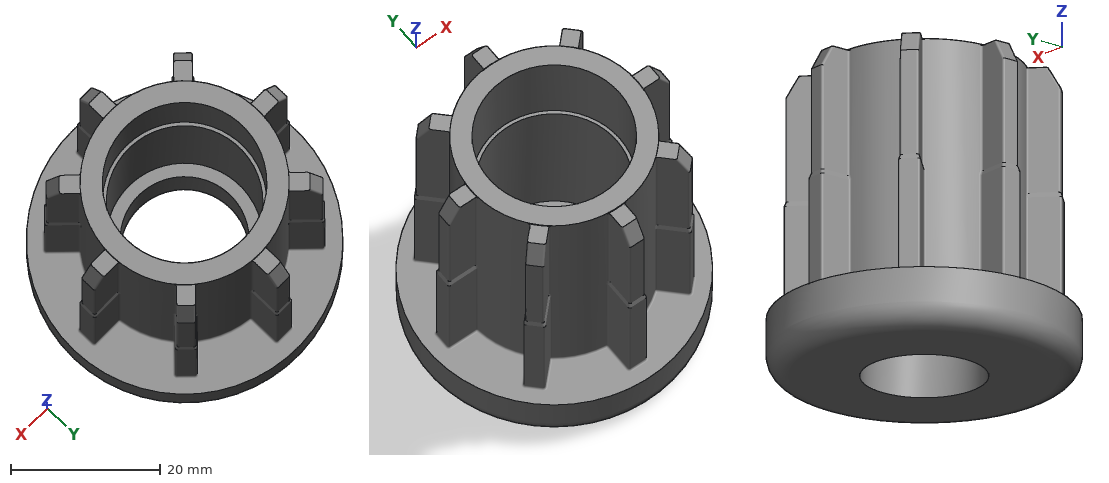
import cadquery as cq
import math

total_height = 43.0
flange_diameter = 42.4
flange_height = 8.0
flange_edge_radius = 3.0

tube_diameter = 28.0
mouth_diameter = 22.0
mouth_depth = 12.0
bore_diameter = 21.0
floor_hole_diameter = 17.3

rib_count = 8
rib_upper_reach = 18.55
rib_upper_width = 2.55
rib_step = 0.2
rib_step_bottom = 24.3
rib_step_top = 25.0
rib_embedding = 1.7
rib_top_drop = 0.17
rib_tip_height = 3.0
rib_tip_angle = 30.0
rib_fillet = 0.3
foot_fillet = 0.3
root_search_margin = 0.25

tube_radius = tube_diameter / 2
rib_inner_reach = tube_radius - rib_embedding
rib_top = total_height - rib_top_drop
rib_tip_inset = rib_tip_height * math.tan(math.radians(rib_tip_angle))


def cylinder(diameter, bottom, top):
    """Solid cylinder on the Z axis between two heights."""
    return cq.Workplane("XY").workplane(offset=bottom).circle(diameter / 2).extrude(top - bottom)


def rib_section(step, height):
    """Rib outline with rounded corners on a level plane, grown outward by the given step."""
    length = rib_upper_reach + step - rib_inner_reach
    return (
        cq.Sketch()
        .push([(rib_inner_reach + length / 2, 0)])
        .rect(length, rib_upper_width + 2 * step)
        .reset()
        .vertices()
        .fillet(rib_fillet)
        .moved(cq.Location(cq.Vector(0, 0, height)))
    )


def upper_rib():
    """Narrow part of a rib along +X, with a sloped tip and rounded outer edges."""
    outline = (
        cq.Workplane("XZ")
        .moveTo(rib_inner_reach, rib_step_top)
        .lineTo(rib_upper_reach, rib_step_top)
        .lineTo(rib_upper_reach, rib_top - rib_tip_height)
        .lineTo(rib_upper_reach - rib_tip_inset, rib_top)
        .lineTo(rib_inner_reach, rib_top)
        .close()
        .extrude(rib_upper_width / 2, both=True)
    )
    upright_and_sloped = "|Z or (not(|X or |Y or |Z))"
    return outline.edges(upright_and_sloped).fillet(rib_fillet)


def make_rib():
    """Rib along +X: wide lower part, taper and narrow upper part."""
    lower_height = rib_step_bottom - flange_height
    lower = cq.Workplane("XY").placeSketch(rib_section(rib_step, flange_height)).extrude(lower_height)
    taper_bottom = rib_section(rib_step, rib_step_bottom)
    taper_top = rib_section(0, rib_step_top)
    taper = cq.Workplane("XY").placeSketch(taper_bottom, taper_top).loft()
    return lower.union(taper).union(upper_rib())


def root_edges(body):
    """Upright edges where the rib sides meet the outside of the tube."""
    edges = []
    for edge in body.edges().vals():
        box = edge.BoundingBox()
        center = edge.Center()
        on_tube = abs(math.hypot(center.x, center.y) - tube_radius) < root_search_margin
        if on_tube and box.zlen > root_search_margin:
            edges.append(edge)
    return edges


def foot_edges(body):
    """Edges at flange level where the tube and ribs rise, without the closed circle of the flange rim."""
    inside_rim = cq.selectors.BoxSelector(
        (-flange_diameter / 2, -flange_diameter / 2, flange_height - foot_fillet / 2),
        (flange_diameter / 2, flange_diameter / 2, flange_height + foot_fillet / 2),
    )
    edges = body.edges(inside_rim).vals()
    return [edge for edge in edges if not edge.IsClosed()]


def ribbed_tube():
    body = cylinder(tube_diameter, flange_height, total_height)
    rib = make_rib()
    for index in range(rib_count):
        body = body.union(rib.rotate((0, 0, 0), (0, 0, 1), index * 360 / rib_count))
    return body.newObject(root_edges(body)).fillet(rib_fillet)


def flange():
    return cylinder(flange_diameter, 0, flange_height).faces("<Z").edges().fillet(flange_edge_radius)


def outer_body():
    body = flange().union(ribbed_tube())
    return body.newObject(foot_edges(body)).fillet(foot_fillet)


def stepped_bore():
    """Wide mouth, narrower bore down to flange level, then the hole through the flange."""
    mouth = cylinder(mouth_diameter, total_height - mouth_depth, total_height)
    bore = cylinder(bore_diameter, flange_height, total_height)
    floor_hole = cylinder(floor_hole_diameter, 0, total_height)
    return mouth.union(bore).union(floor_hole)


result = outer_body().cut(stepped_bore())